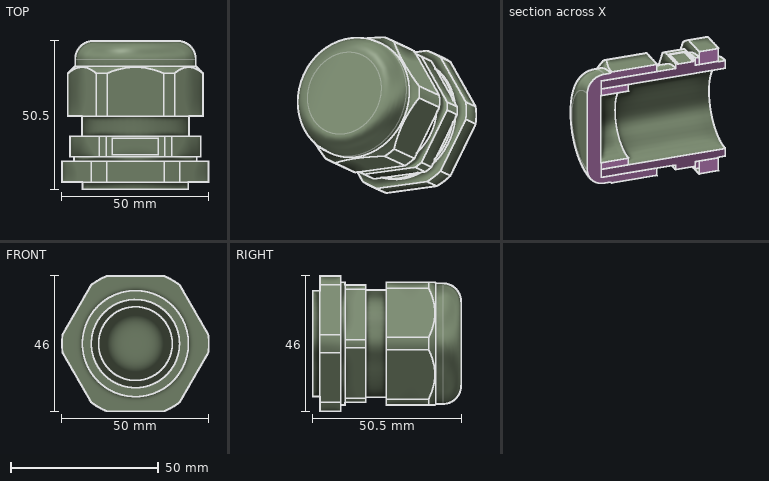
import cadquery as cq
import math

total_length = 50.5
dome_end = total_length / 2
thread_end = -total_length / 2

thread_projection = 2.45
locknut_thickness = 7.1
gasket_thickness = 1.45
flange_thickness = 7.05
neck_length = 6.8

locknut_start = thread_end + thread_projection
gasket_start = locknut_start + locknut_thickness
flange_start = gasket_start + gasket_thickness
neck_start = flange_start + flange_thickness
cap_start = neck_start + neck_length

locknut_flats = 46.0
locknut_corner_radius = 25.0
flange_flats = 39.9
flange_corner_radius = 22.25
cap_flats = 41.8
cap_corner_radius = 23.05

thread_radius = 18.05
neck_radius = 18.25
bore_radius = 15.0
gasket_radius = 20.9
dome_radius = 20.55
dome_fillet = 6.25
dome_height = 8.6
seal_hole_radius = 12.5

end_wall = 5.05
cavity_end = dome_end - end_wall
seal_length = 10.1

nameplate_length = 15.6
nameplate_width = 5.55
nameplate_depth = 0.25


def cylinder(radius, start, end):
    """Solid cylinder along Y between two stations."""
    plane = cq.Plane(origin=(0, start, 0), xDir=(1, 0, 0), normal=(0, 1, 0))
    return cq.Workplane(plane).circle(radius).extrude(end - start)


def rounded_hex(flats, corner_radius, start, end):
    """Hexagonal prism along Y, flats up and down, corners turned to a radius."""
    plane = cq.Plane(origin=(0, start, 0), xDir=(1, 0, 0), normal=(0, 1, 0))
    across_corners = flats / math.cos(math.radians(30))
    prism = cq.Workplane(plane).polygon(6, across_corners).extrude(end - start)
    return prism.intersect(cylinder(corner_radius, start, end))


def make_locknut():
    """Hexagonal nut on the connecting thread."""
    nut = rounded_hex(locknut_flats, locknut_corner_radius, locknut_start, gasket_start)
    return nut.cut(cylinder(thread_radius, locknut_start, gasket_start))


def make_gasket():
    """Flat ring between the locknut and the flange."""
    ring = cylinder(gasket_radius, gasket_start, flange_start)
    return ring.cut(cylinder(thread_radius, gasket_start, flange_start))


def make_body():
    """Threaded tube with a hexagonal flange and a neck that goes into the cap."""
    thread = cylinder(thread_radius, thread_end, flange_start)
    flange = rounded_hex(flange_flats, flange_corner_radius, flange_start, neck_start)
    neck = cylinder(neck_radius, neck_start, cavity_end)
    nameplate = cq.Workplane("XY").box(nameplate_length, nameplate_width, 2 * nameplate_depth)
    nameplate = nameplate.translate((0, (flange_start + neck_start) / 2, flange_flats / 2))
    bore = cylinder(bore_radius, thread_end, cavity_end)
    return thread.union(flange).union(neck).cut(bore).cut(nameplate)


def make_seal():
    """Ring at the inner end of the body's bore, against the end wall of the cap."""
    seal_start = cavity_end - seal_length
    ring = cylinder(bore_radius, seal_start, cavity_end)
    return ring.cut(cylinder(seal_hole_radius, seal_start, cavity_end))


def make_cap():
    """Domed hexagonal cap, its hexagon bevelled at 45 degrees down from the dome."""
    dome_start = dome_end - dome_height
    bevel = cap_corner_radius - dome_radius
    bevelled_bar = cylinder(cap_corner_radius, cap_start, dome_start).faces(">Y").chamfer(bevel)
    prism = rounded_hex(cap_flats, cap_corner_radius, cap_start, dome_start)
    dome = cylinder(dome_radius, cap_start, dome_end).faces(">Y").edges().fillet(dome_fillet)
    cavity = cylinder(neck_radius, cap_start, cavity_end)
    return prism.intersect(bevelled_bar).union(dome).cut(cavity)


locknut = make_locknut()
gasket = make_gasket()
body = make_body()
seal = make_seal()
cap = make_cap()

result = cq.Compound.makeCompound([locknut.val(), gasket.val(), body.val(), seal.val(), cap.val()])